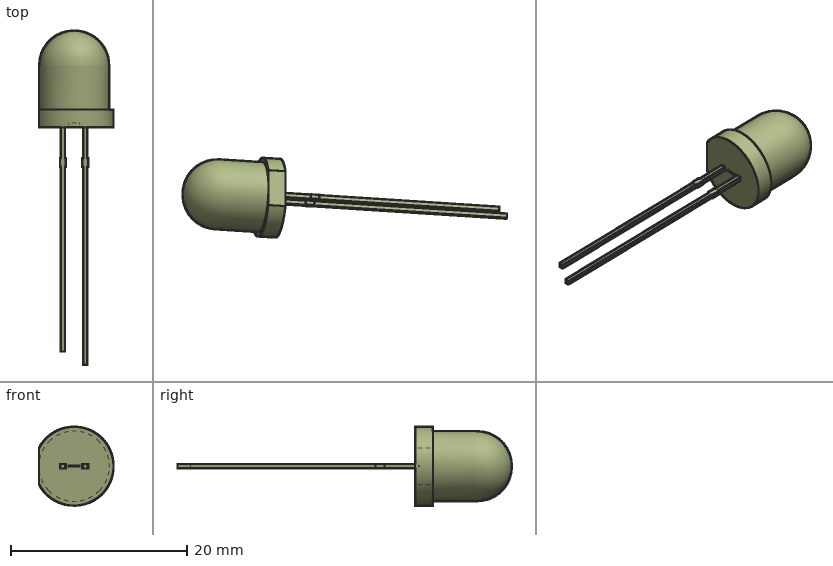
import cadquery as cq


body_radius = 4.0
body_top = 7.0
flange_radius = 4.5
flange_thickness = 2.0
flat_offset = body_radius

lead_pitch = 2.54
lead_width = 0.5
lead_thickness = 0.5
long_lead = 27.0
short_lead = 25.5
lead_embed = 1.0

shoulder_width = 0.7
shoulder_start = 3.5
shoulder_length = 1.0

slot_length = 1.25
slot_thickness = 0.1
slot_depth = 0.5


def box_along_y(width, thickness, y_low, y_high, center_x):
    """Box centred on Z = 0 and on center_x, reaching from y_low to y_high."""
    return (
        cq.Workplane("XY")
        .box(width, y_high - y_low, thickness, centered=(True, False, True))
        .translate((center_x, y_low, 0))
    )


def make_lens():
    """Cylinder closed by a hemisphere, revolved about the Y axis."""
    dome_mid = body_radius * 0.5 ** 0.5
    return (
        cq.Workplane("XY")
        .lineTo(body_radius, 0)
        .lineTo(body_radius, body_top)
        .threePointArc((dome_mid, body_top + dome_mid), (0, body_top + body_radius))
        .close()
        .revolve(360, (0, 0, 0), (0, 1, 0))
    )


def make_flange():
    """Disc with one flat on the -X side."""
    disc = cq.Workplane("XZ").circle(flange_radius).extrude(-flange_thickness)
    kept_width = flat_offset + flange_radius
    kept_center_x = (flange_radius - flat_offset) / 2
    kept_side = box_along_y(kept_width, 2 * flange_radius, 0, flange_thickness, kept_center_x)
    return disc.intersect(kept_side)


def make_lead(center_x, length):
    """Square wire with a wider stand-off shoulder."""
    wire = box_along_y(lead_width, lead_thickness, -length, lead_embed, center_x)
    shoulder_end = shoulder_start + shoulder_length
    shoulder = box_along_y(shoulder_width, lead_thickness, -shoulder_end, -shoulder_start, center_x)
    return wire.union(shoulder)


slot = box_along_y(slot_length, slot_thickness, 0, slot_depth, center_x=0)
result = make_lens().union(make_flange()).cut(slot)
for lead_x, lead_length in ((-lead_pitch / 2, short_lead), (lead_pitch / 2, long_lead)):
    result = result.union(make_lead(lead_x, lead_length))